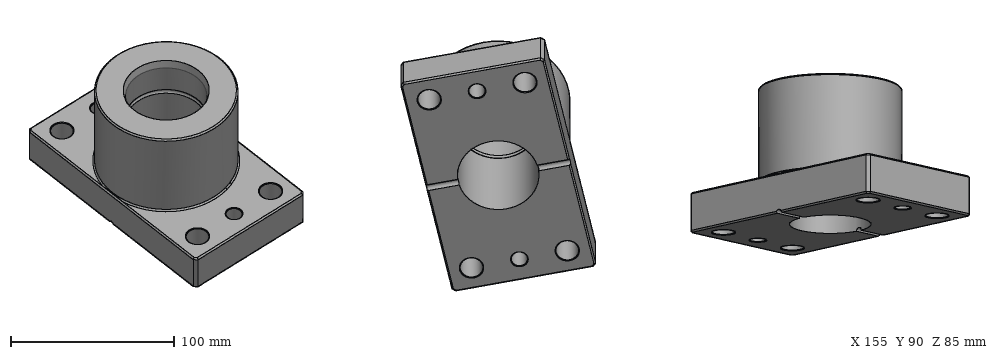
import cadquery as cq

plate_length = 155.0
plate_width = 90.0
plate_height = 25.0
edge_chamfer = 1.0
corner_chamfer = 2.0

total_height = 85.0
boss_radius = plate_width / 2 - edge_chamfer
boss_chamfer = 1.0
root_radius = edge_chamfer

bore_radius = 25.0
lead_in_radius = 26.4
lead_in_depth = 5.0
groove_depth = 25.0
groove_half_width = 1.5
groove_cut = 0.8

screw_hole_radius = 7.0
screw_spacing_x = 125.0
screw_spacing_y = 60.0
pin_hole_radius = 5.0
hole_chamfer = 0.5

slot_radius = 2.0


def turn(profile):
    """Turn a closed XZ profile a full circle about the Z axis."""
    return profile.revolve(360, (0, 0, 0), (0, 1, 0))


def make_plate():
    """Rectangular plate with bevelled corners and bevelled top and bottom edges."""
    plate = cq.Workplane("XY").box(plate_length, plate_width, plate_height, centered=(True, True, False))
    return plate.edges("|Z").chamfer(corner_chamfer).faces("<Z or >Z").chamfer(edge_chamfer)


def make_boss():
    """Round boss, sunk into the plate, with a bevelled top rim."""
    boss = cq.Workplane("XY").workplane(offset=plate_height / 2)
    boss = boss.circle(boss_radius).extrude(total_height - plate_height / 2)
    return boss.faces(">Z").chamfer(boss_chamfer)


def make_root_blend():
    """Concave ring where the boss meets the plate, kept within the flat top of the plate."""
    profile = (
        cq.Workplane("XZ")
        .moveTo(boss_radius - root_radius, plate_height - root_radius)
        .lineTo(boss_radius + root_radius, plate_height - root_radius)
        .lineTo(boss_radius + root_radius, plate_height)
        .radiusArc((boss_radius, plate_height + root_radius), root_radius)
        .lineTo(boss_radius - root_radius, plate_height + root_radius)
        .close()
    )
    flat_top = cq.Workplane("XY").box(plate_length, 2 * boss_radius, 2 * total_height)
    return turn(profile).intersect(flat_top)


def make_bore():
    """Turned cutter for the bore, its lead-in taper and its ring groove."""
    groove_z = total_height - groove_depth
    profile = (
        cq.Workplane("XZ")
        .lineTo(bore_radius, 0)
        .lineTo(bore_radius, groove_z - groove_half_width)
        .threePointArc((bore_radius + groove_cut, groove_z), (bore_radius, groove_z + groove_half_width))
        .lineTo(bore_radius, total_height - lead_in_depth)
        .lineTo(lead_in_radius, total_height)
        .lineTo(0, total_height)
        .close()
    )
    return turn(profile)


def make_hole(x, y, radius):
    """Cutter for a plate hole with a bevelled mouth at the top and bottom."""
    mouth_radius = radius + hole_chamfer
    profile = (
        cq.Workplane("XZ")
        .lineTo(mouth_radius, 0)
        .lineTo(radius, hole_chamfer)
        .lineTo(radius, plate_height - hole_chamfer)
        .lineTo(mouth_radius, plate_height)
        .lineTo(0, plate_height)
        .close()
    )
    return turn(profile).translate((x, y, 0))


def make_slot():
    """Round cutter lying along Y at the middle of the underside."""
    return cq.Workplane("XZ").circle(slot_radius).extrude(plate_width, both=True)


result = make_plate().union(make_boss()).union(make_root_blend()).cut(make_bore())

for side in (-1, 1):
    hole_x = side * screw_spacing_x / 2
    result = result.cut(make_hole(hole_x, 0, pin_hole_radius))
    for end in (-1, 1):
        result = result.cut(make_hole(hole_x, end * screw_spacing_y / 2, screw_hole_radius))

result = result.cut(make_slot())